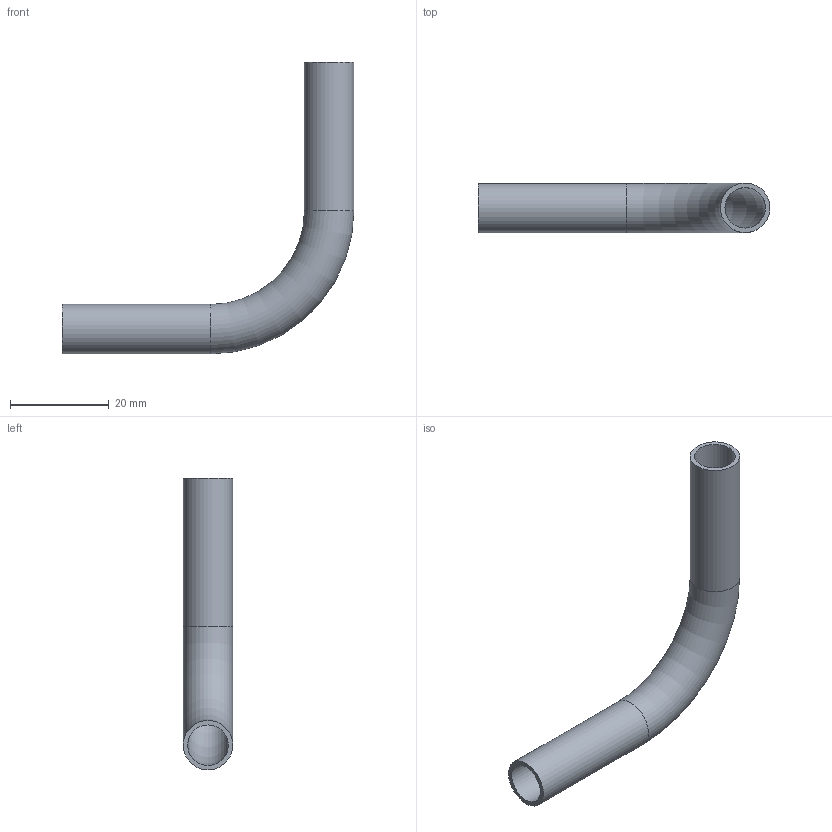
import cadquery as cq

outer_diameter = 10.0
wall_thickness = 0.9
straight_length = 30.0
bend_radius = 24.0

bore_diameter = outer_diameter - 2 * wall_thickness


def bent_rod(diameter):
    """Round rod: straight along +X, quarter bend, then straight along +Z."""
    radius = diameter / 2
    horizontal_leg = cq.Workplane("YZ").circle(radius).extrude(straight_length)
    bend = (
        cq.Workplane("YZ", origin=(straight_length, 0, 0))
        .circle(radius)
        .revolve(90, (0, bend_radius, 0), (-1, bend_radius, 0))
    )
    vertical_leg = (
        cq.Workplane("XY", origin=(straight_length + bend_radius, 0, bend_radius))
        .circle(radius)
        .extrude(straight_length)
    )
    return horizontal_leg.union(bend).union(vertical_leg)


result = bent_rod(outer_diameter).cut(bent_rod(bore_diameter))